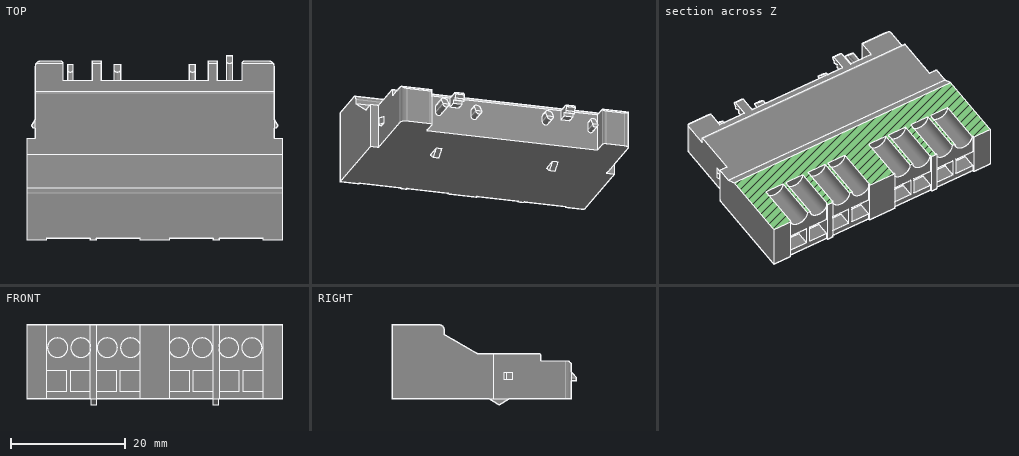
import cadquery as cq
import math

front_width = 44.5
rear_width = 41.6
front_height = 12.9
shelf_height = 7.85
rear_height = 6.6
top_rear_y = 9.1
slope_foot_y = 14.9
slope_angle = 30.0
shoulder_y = 17.7
step_y = 25.9
rear_y = 27.8
top_fillet = 0.9
step_fillet = 0.3

ear_y = 31.2
left_ear_width = 4.85
right_ear_width = 5.65
ear_chamfer = 0.5
ear_outer_fillet = 1.0
ear_inner_fillet = 0.5
tab_spacing = 20.2
tab_width = 1.6
tab_tip_thickness = 1.05
tab_barb_thickness = 1.5
tab_root_thickness = 1.7
tab_root_y = 29.7

low_pin_z = 3.1
high_pin_z = 3.6
short_pin_y = 30.6
long_pin_y = 32.1
pin_height = 2.15
pin_tip_height = 0.6
pin_tip_angle = 48.0
pins = [
    (-14.7, short_pin_y, low_pin_z, 0.95),
    (-6.5, short_pin_y, high_pin_z, 1.2),
    (6.53, short_pin_y, low_pin_z, 1.1),
    (13.0, long_pin_y, low_pin_z, 1.1),
]

window_depth = 0.3
window_width = 7.55
window_margin = 3.45
rib_width = 1.1
hole_diameter = 3.45
hole_pitch = 4.05
hole_inset = 0.15
hole_z = 8.9
hole_depth = 8.0
pocket_width = 3.45
pocket_bottom = 1.3
pocket_top = 4.9
pocket_depth = 2.5

side_latch_front_y = 19.5
side_latch_length = 1.5
side_latch_reach = 0.65
side_latch_nose_width = 0.25
side_latch_nose_length = 0.45
side_latch_bottom = 3.35
side_latch_height = 1.2
foot_spacing = 21.2
foot_width = 1.0
foot_y = 18.65
foot_length = 3.5
foot_drop = 1.1

overlap = 0.5


def block(x_min, x_max, y_min, y_max, z_min, z_max):
    size = (x_max - x_min, y_max - y_min, z_max - z_min)
    return cq.Workplane("XY").box(*size, centered=False).translate((x_min, y_min, z_min))


def extrude_along_x(points, x_center, width):
    """Extrude a (Y, Z) outline across a width centred on x_center."""
    outline = cq.Workplane("YZ").workplane(offset=x_center - width / 2)
    return outline.polyline(points).close().extrude(width)


def make_body():
    slope_rise = (slope_foot_y - top_rear_y) * math.tan(math.radians(slope_angle))
    profile = [
        (0, 0),
        (rear_y, 0),
        (rear_y, rear_height),
        (step_y, rear_height),
        (step_y, shelf_height),
        (slope_foot_y, shelf_height),
        (top_rear_y, shelf_height + slope_rise),
        (top_rear_y, front_height),
        (0, front_height),
    ]
    body = extrude_along_x(profile, 0, front_width)
    top_edge = cq.selectors.NearestToPointSelector((0, top_rear_y, front_height))
    body = body.edges(top_edge).fillet(top_fillet)
    step_edge = cq.selectors.NearestToPointSelector((0, step_y, shelf_height))
    body = body.edges(step_edge).fillet(step_fillet)
    for x_min, x_max in (
        (-front_width / 2, -rear_width / 2),
        (rear_width / 2, front_width / 2),
    ):
        body = body.cut(block(x_min, x_max, shoulder_y, rear_y, 0, front_height))
    return body


def make_ear(side, width):
    """Ear flush with one side of the body; side is -1 (left) or 1 (right)."""
    outer_x = side * rear_width / 2
    inner_x = outer_x - side * width
    ear = block(min(outer_x, inner_x), max(outer_x, inner_x), step_y, ear_y, 0, rear_height)
    ear = ear.edges(">Y and >Z").chamfer(ear_chamfer)
    for x, radius in ((outer_x, ear_outer_fillet), (inner_x, ear_inner_fillet)):
        corner = cq.selectors.NearestToPointSelector((x, ear_y, (rear_height - ear_chamfer) / 2))
        ear = ear.edges(corner).fillet(radius)
    return ear


def make_tab(x_center):
    """Flat tab, level with the rear top face, with a small barb below its tip."""
    barb_y = ear_y - ear_chamfer
    throat_z = rear_height - tab_tip_thickness
    barb_z = rear_height - tab_barb_thickness
    root_z = rear_height - tab_root_thickness
    profile = [
        (step_y, rear_height),
        (barb_y, rear_height),
        (ear_y, rear_height - ear_chamfer),
        (barb_y, throat_z),
        (barb_y, barb_z),
        (tab_root_y, throat_z),
        (tab_root_y, root_z),
        (step_y, root_z),
    ]
    return extrude_along_x(profile, x_center, tab_width)


def make_pin(x_center, tip_y, bottom_z, width):
    """Obround pin along Y whose tip is sloped down from the top."""
    start_y = rear_y - overlap
    pin = (
        cq.Workplane("XZ", origin=(x_center, start_y, bottom_z + pin_height / 2))
        .slot2D(pin_height, width, 90)
        .extrude(start_y - tip_y)
    )
    slope_z = bottom_z + pin_tip_height
    top_z = bottom_z + pin_height
    slope_length = (top_z - slope_z) / math.tan(math.radians(pin_tip_angle))
    tip_cut = [(tip_y, slope_z), (tip_y, top_z), (tip_y - slope_length, top_z)]
    return pin.cut(extrude_along_x(tip_cut, x_center, width))


def make_side_latch():
    """Snap wedge on the right side of the body."""
    wall_x = rear_width / 2
    tip_x = wall_x + side_latch_reach
    outline = [
        (wall_x - overlap, side_latch_front_y),
        (tip_x - side_latch_nose_width, side_latch_front_y),
        (tip_x, side_latch_front_y + side_latch_nose_length),
        (wall_x, side_latch_front_y + side_latch_length),
        (wall_x - overlap, side_latch_front_y + side_latch_length),
    ]
    plane = cq.Workplane("XY").workplane(offset=side_latch_bottom)
    return plane.polyline(outline).close().extrude(side_latch_height)


def make_foot(x_center):
    """Triangular snap wedge under the body."""
    outline = [
        (foot_y - foot_length / 2, 0),
        (foot_y, -foot_drop),
        (foot_y + foot_length / 2, 0),
    ]
    return extrude_along_x(outline, x_center, foot_width)


def make_window(x_min):
    """Shallow window in the left half with two entry holes and two pockets."""
    x_max = x_min + window_width
    x_middle = (x_min + x_max) / 2
    window = block(x_min, x_max, 0, window_depth, 0, front_height)
    for side in (-1, 1):
        hole_x = x_middle + hole_inset + side * hole_pitch / 2
        hole = (
            cq.Workplane("XZ", origin=(hole_x, window_depth, hole_z))
            .circle(hole_diameter / 2)
            .extrude(-hole_depth)
        )
        window = window.union(hole)
    pocket_end = window_depth + pocket_depth
    for pocket_x in (x_min, x_max - pocket_width):
        pocket = block(pocket_x, pocket_x + pocket_width, 0, pocket_end, pocket_bottom, pocket_top)
        window = window.union(pocket)
    return window


result = make_body()
result = result.union(make_ear(-1, left_ear_width)).union(make_ear(1, right_ear_width))

for tab_x in (-tab_spacing / 2, tab_spacing / 2):
    result = result.union(make_tab(tab_x))

for pin_x, pin_tip_y, pin_z, pin_width in pins:
    result = result.union(make_pin(pin_x, pin_tip_y, pin_z, pin_width))

side_latch = make_side_latch()
result = result.union(side_latch).union(side_latch.mirror("YZ"))

for foot_x in (-foot_spacing / 2, foot_spacing / 2):
    result = result.union(make_foot(foot_x))

for index in range(2):
    left_window = make_window(-front_width / 2 + window_margin + index * (window_width + rib_width))
    result = result.cut(left_window).cut(left_window.mirror("YZ"))